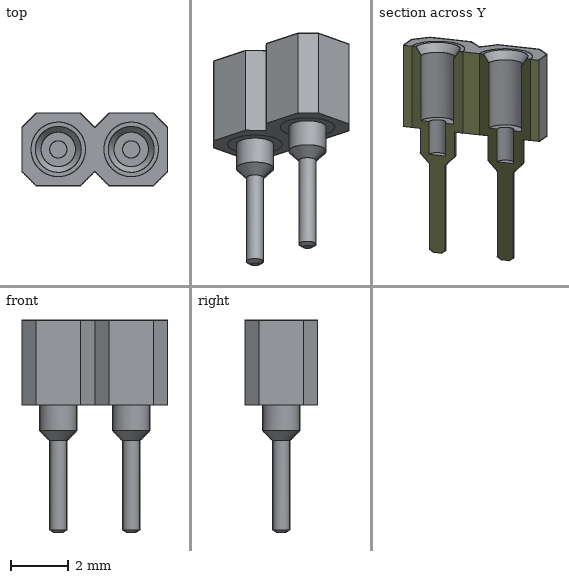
import cadquery as cq

pitch = 2.54
positions = 2
total_height = 7.4

housing_height = 2.96
corner_cut = 0.5
housing_width = pitch

head_diameter = 1.9
body_diameter = 1.3
body_length = 0.89
tail_diameter = 0.6
taper_length = (body_diameter - tail_diameter) / 2
tip_diameter = 0.3
tip_length = 0.1

entry_diameter = 1.6
bore_diameter = 1.2
entry_depth = 0.3
floor_thickness = 0.3
floor_hole_diameter = tail_diameter

contact_xs = [(i - (positions - 1) / 2) * pitch for i in range(positions)]
tail_bottom = housing_height - total_height


def make_housing():
    """Row of octagonal cells joined side by side, bored through for the contacts."""
    housing = cq.Workplane("XY")
    for x in contact_xs:
        cell = (
            cq.Workplane("XY")
            .center(x, 0)
            .rect(pitch, housing_width)
            .extrude(housing_height)
            .edges("|Z")
            .chamfer(corner_cut)
        )
        housing = housing.union(cell)
    contact_holes = (
        cq.Workplane("XY")
        .pushPoints([(x, 0) for x in contact_xs])
        .circle(head_diameter / 2)
        .extrude(housing_height)
    )
    return housing.cut(contact_holes)


def make_contact(x):
    """Turned contact: head filling the housing hole, body, tapered shoulder and tail."""
    profile = [
        (0, -body_length),
        (floor_hole_diameter / 2, -body_length),
        (floor_hole_diameter / 2, floor_thickness),
        (bore_diameter / 2, floor_thickness),
        (bore_diameter / 2, housing_height - entry_depth),
        (entry_diameter / 2, housing_height),
        (head_diameter / 2, housing_height),
        (head_diameter / 2, 0),
        (body_diameter / 2, 0),
        (body_diameter / 2, -body_length),
        (tail_diameter / 2, -body_length - taper_length),
        (tail_diameter / 2, tail_bottom + tip_length),
        (tip_diameter / 2, tail_bottom),
        (0, tail_bottom),
    ]
    contact = cq.Workplane("XZ").polyline(profile).close().revolve(360, (0, 0, 0), (0, 1, 0))
    return contact.translate((x, 0, 0))


housing = make_housing()
contacts = [make_contact(x) for x in contact_xs]

result = cq.Compound.makeCompound([housing.val(), *[contact.val() for contact in contacts]])